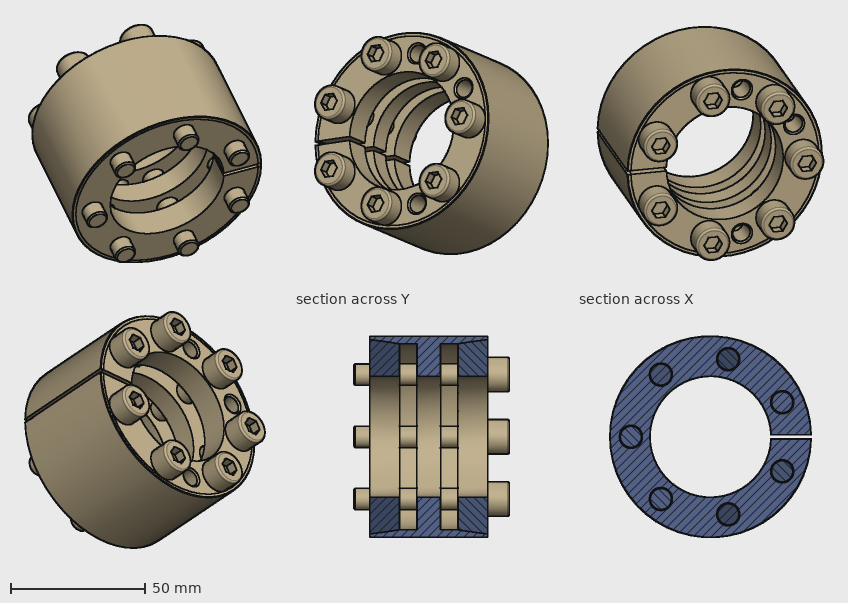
import cadquery as cq
import math


outer_diameter = 75.0
bore_diameter = 45.0
body_length = 44.0
slit_width = 1.5

cone_ring_length = 11.2
web_thickness = 8.85
cone_ring_diameter = 72.3
cone_angle = 8.0
rim_chamfer = 0.2

screw_count = 7
bolt_circle_diameter = 59.25
shank_diameter = 8.0
head_diameter = 13.0
head_length = 8.0
head_fillet = 0.8
tip_length = 5.9
tip_diameter = 6.8
socket_flats = 6.0
socket_depth = 4.0

clearance_diameter = 8.4
jack_mouth_diameter = 8.0
jack_diameter = 6.7
countersink_angle = 45.0

outer_radius = outer_diameter / 2
bore_radius = bore_diameter / 2
bolt_radius = bolt_circle_diameter / 2
cone_radius = cone_ring_diameter / 2
cone_inner_radius = cone_radius - cone_ring_length * math.tan(math.radians(cone_angle))
tip_chamfer = (shank_diameter - tip_diameter) / 2
countersink_depth = (jack_mouth_diameter - jack_diameter) / 2
screw_end = body_length + tip_length
web_front = (body_length - web_thickness) / 2
web_rear = web_front + web_thickness
rear_cone_start = body_length - cone_ring_length
pitch_angle = 360 / screw_count
jack_positions = (-1.5, 0.5, 1.5)


def bolt_point(pitches):
    """(Y, Z) of a place on the bolt circle, counted in screw pitches from -Y."""
    angle = math.radians(pitches * pitch_angle)
    return -bolt_radius * math.cos(angle), bolt_radius * math.sin(angle)


screw_points = [bolt_point(index) for index in range(screw_count)]
jack_points = [bolt_point(pitches) for pitches in jack_positions]


def revolve_about_x(profile):
    """Solid of revolution about the X axis from (X, radius) points."""
    outline = cq.Workplane("XY").polyline(profile).close()
    return outline.revolve(360, (0, 0, 0), (1, 0, 0))


def rods(points, diameter, start, end):
    """Cylinders along X at the given (Y, Z) points."""
    plane = cq.Workplane("YZ", origin=(start, 0, 0))
    return plane.pushPoints(points).circle(diameter / 2).extrude(end - start)


def cut_slit(ring):
    """Cut the ring open on its +Y side along its whole length."""
    slit = cq.Workplane("XY").box(
        body_length, outer_radius, slit_width, centered=(False, False, True)
    )
    return ring.cut(slit)


def make_outer_ring():
    """Ring with a conical seat at each end and a drilled web between them."""
    ring = revolve_about_x([
        (0, cone_radius),
        (0, outer_radius - rim_chamfer),
        (rim_chamfer, outer_radius),
        (body_length - rim_chamfer, outer_radius),
        (body_length, outer_radius - rim_chamfer),
        (body_length, cone_radius),
        (rear_cone_start, cone_inner_radius),
        (web_rear, cone_inner_radius),
        (web_rear, bore_radius),
        (web_front, bore_radius),
        (web_front, cone_inner_radius),
        (cone_ring_length, cone_inner_radius),
    ])
    return cut_slit(ring.cut(rods(screw_points, clearance_diameter, web_front, web_rear)))


def make_cone_ring():
    """Cone ring without holes, its wide face at X = 0."""
    return revolve_about_x([
        (0, bore_radius),
        (0, cone_radius),
        (cone_ring_length, cone_inner_radius),
        (cone_ring_length, bore_radius),
    ])


def make_front_ring():
    """Cone ring with clearance holes for the screws and countersunk jack holes."""
    ring = make_cone_ring()
    ring = ring.cut(rods(screw_points, clearance_diameter, 0, cone_ring_length))
    jack_holes = rods(jack_points, jack_diameter, 0, cone_ring_length)
    mouths = cq.Workplane("YZ").pushPoints(jack_points).circle(jack_mouth_diameter / 2)
    countersinks = mouths.extrude(countersink_depth, taper=countersink_angle)
    return cut_slit(ring.cut(jack_holes).cut(countersinks))


def make_rear_ring():
    """Cone ring that holds the screws, its wide face at the far end."""
    ring = make_cone_ring().mirror("YZ").translate((body_length, 0, 0))
    rear_holes = rods(screw_points, shank_diameter, rear_cone_start, body_length)
    return cut_slit(ring.cut(rear_holes))


def make_screw(point):
    """Socket head screw with its head resting on the front face."""
    head = rods([point], head_diameter, -head_length, 0).faces("<X").edges().fillet(head_fillet)
    shank = rods([point], shank_diameter, 0, screw_end).faces(">X").chamfer(tip_chamfer)
    socket_plane = cq.Plane(origin=(-head_length, *point), xDir=(0, 0, 1), normal=(1, 0, 0))
    socket = cq.Workplane(socket_plane).polygon(6, socket_flats, circumscribed=True).extrude(socket_depth)
    return head.union(shank).cut(socket)


outer_ring = make_outer_ring()
front_ring = make_front_ring()
rear_ring = make_rear_ring()
screws = [make_screw(point) for point in screw_points]

result = cq.Compound.makeCompound([
    outer_ring.val(),
    front_ring.val(),
    rear_ring.val(),
    *[screw.val() for screw in screws],
])